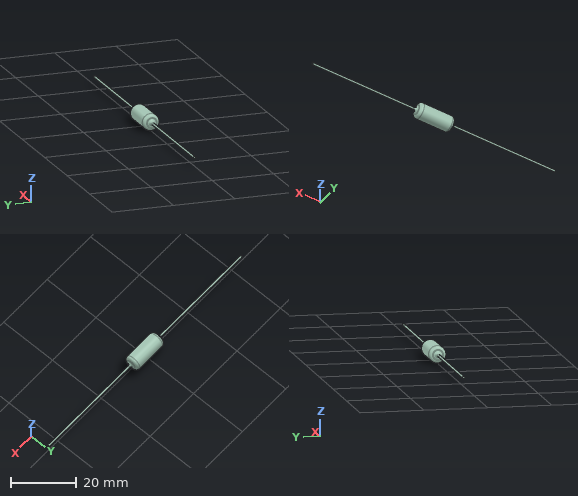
import cadquery as cq
import math

overall_length = 88.9
lead_diameter = 0.81
body_length = 12.6
body_diameter = 5.5
body_edge_radius = 1.1
flare_radius = 1.1

lead_radius = lead_diameter / 2
lead_half = overall_length / 2
body_radius = body_diameter / 2
body_half = body_length / 2

shoulder_x = body_half - body_edge_radius
end_face_radius = body_radius - body_edge_radius
flare_tip_x = body_half + flare_radius
flare_base_radius = lead_radius + flare_radius

edge_diagonal = body_edge_radius * math.sqrt(0.5)
flare_diagonal = flare_radius * math.sqrt(0.5)
edge_middle = (shoulder_x + edge_diagonal, end_face_radius + edge_diagonal)
flare_middle = (flare_tip_x - flare_diagonal, flare_base_radius - flare_diagonal)


def mirrored(point):
    """The same point on the -X half of the profile."""
    x, radius = point
    return (-x, radius)


result = (
    cq.Workplane("XZ")
    .moveTo(-lead_half, 0)
    .lineTo(-lead_half, lead_radius)
    .lineTo(-flare_tip_x, lead_radius)
    .threePointArc(mirrored(flare_middle), (-body_half, flare_base_radius))
    .lineTo(-body_half, end_face_radius)
    .threePointArc(mirrored(edge_middle), (-shoulder_x, body_radius))
    .lineTo(shoulder_x, body_radius)
    .threePointArc(edge_middle, (body_half, end_face_radius))
    .lineTo(body_half, flare_base_radius)
    .threePointArc(flare_middle, (flare_tip_x, lead_radius))
    .lineTo(lead_half, lead_radius)
    .lineTo(lead_half, 0)
    .close()
    .revolve(360, (0, 0, 0), (1, 0, 0))
)